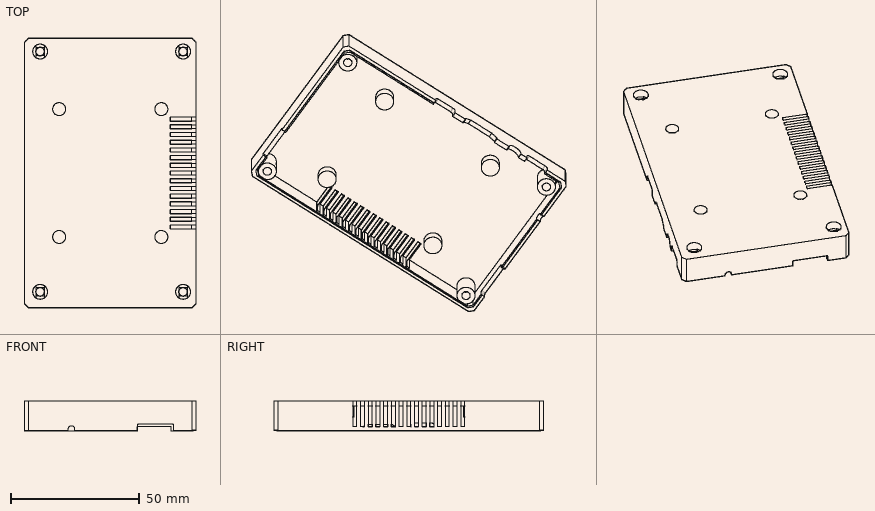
import cadquery as cq

length_x = 66.8
length_y = 105.1
height = 11.8
corner_chamfer = 1.6
wall = 1.8
roof = 2.0

lip_height = 0.3
lip_inset = 1.3

screw_spacing_x = 55.7
screw_spacing_y = 93.6
screw_centre = (0.5, 0.5)
screw_diameter = 3.3
head_diameter = 5.8
head_depth = 3.2
bridge_step = 0.3
post_diameter = 7.0

recess_spacing_x = 39.8
recess_spacing_y = 49.8
recess_centre = (0, 0)
recess_diameter = 5.0
recess_depth = 4.2

slot_count = 15
slot_row_length = 42.0
slot_pitch = slot_row_length / (slot_count - 1)
slot_width = slot_pitch / 2
slot_inner_x = 23.4
slot_bottom_z = 1.8

port_height = 3.2
port_corner_radius = 1.0
tall_port_a_y = 5.4
tall_port_a_width = 9.0
low_port_y = -11.5
low_port_width = 14.7
low_port_height = 2.5
low_port_bevel_width = 2.4
low_port_bevel_height = 1.6
jack_y = -27.4
jack_diameter = 5.5
tall_port_b_y = -37.8
tall_port_b_width = 9.5

end_opening_left_x = 10.6
front_opening_width = 14.0
front_opening_height = 2.8
front_opening_radius = 0.5
back_opening_width = 13.0
back_opening_height = 1.8
notch_x = -15.1
notch_width = 2.5
notch_height = 2.1

left_x = -length_x / 2
right_x = length_x / 2
front_y = -length_y / 2
back_y = length_y / 2


def chamfered_block(inset, bottom_z, top_z):
    """Block with the plan outline of the shell, moved inwards by inset."""
    return (
        cq.Workplane("XY", origin=(0, 0, bottom_z))
        .rect(length_x - 2 * inset, length_y - 2 * inset)
        .extrude(top_z - bottom_z)
        .edges("|Z")
        .chamfer(corner_chamfer)
    )


def box_between(x, y, z):
    """Box spanning the (low, high) pairs x, y and z."""
    size_x, size_y, size_z = (high - low for low, high in (x, y, z))
    block = cq.Workplane("XY").box(size_x, size_y, size_z, centered=False)
    return block.translate((x[0], y[0], z[0]))


def grid(spacing_x, spacing_y, centre):
    """Four points of a rectangular hole pattern."""
    return [
        (centre[0] + side_x * spacing_x / 2, centre[1] + side_y * spacing_y / 2)
        for side_x in (-1, 1)
        for side_y in (-1, 1)
    ]


def cylinders(points, diameter, bottom_z, top_z):
    """Vertical cylinders of one size at the given points."""
    return (
        cq.Workplane("XY", origin=(0, 0, bottom_z))
        .pushPoints(points)
        .circle(diameter / 2)
        .extrude(top_z - bottom_z)
    )


def rounded_opening(width, opening_height, radius):
    """Opening profile swept along +Y, standing on Z = 0, with rounded top corners."""
    return (
        cq.Workplane("XZ")
        .rect(width, 2 * opening_height)
        .extrude(-wall)
        .edges("|Y")
        .fillet(radius)
    )


def arched_opening(width, opening_height):
    """Opening swept along +Y whose top is a half circle as wide as the opening."""
    spring_z = opening_height - width / 2
    return (
        cq.Workplane("XZ")
        .moveTo(-width / 2, 0)
        .lineTo(width / 2, 0)
        .lineTo(width / 2, spring_z)
        .threePointArc((0, opening_height), (-width / 2, spring_z))
        .close()
        .extrude(-wall)
    )


def bevelled_opening(width, opening_height, bevel_width, bevel_height):
    """Opening swept along +Y with long bevels at its top corners."""
    shoulder_z = opening_height - bevel_height
    top_half = width / 2 - bevel_width
    return (
        cq.Workplane("XZ")
        .polyline([
            (-width / 2, 0),
            (width / 2, 0),
            (width / 2, shoulder_z),
            (top_half, opening_height),
            (-top_half, opening_height),
            (-width / 2, shoulder_z),
        ])
        .close()
        .extrude(-wall)
    )


def in_left_wall(opening, centre_y):
    """Turn an opening to run along X and place it in the -X wall."""
    return opening.rotate((0, 0, 0), (0, 0, 1), -90).translate((left_x, centre_y, 0))


shell = chamfered_block(0, lip_height, height)
shell = shell.union(chamfered_block(lip_inset, 0, lip_height))
shell = shell.cut(chamfered_block(wall, 0, height - roof))

flush_start = tall_port_b_y - tall_port_b_width / 2
flush_end = tall_port_a_y + tall_port_a_width / 2
shell = shell.union(
    box_between((left_x, left_x + wall), (flush_start, flush_end), (0, lip_height))
)

screw_points = grid(screw_spacing_x, screw_spacing_y, screw_centre)
recess_points = grid(recess_spacing_x, recess_spacing_y, recess_centre)
recess_floor_z = height - recess_depth
shell = shell.union(cylinders(screw_points, post_diameter, lip_height, height))
shell = shell.union(cylinders(recess_points, post_diameter, recess_floor_z - roof, height))
shell = shell.cut(cylinders(recess_points, recess_diameter, recess_floor_z, height))

head_floor_z = height - head_depth
slot_step_z = head_floor_z - bridge_step
square_step_z = slot_step_z - bridge_step
shell = shell.cut(cylinders(screw_points, head_diameter, head_floor_z, height))
shell = shell.cut(cylinders(screw_points, screw_diameter, 0, height))
slot_step = cylinders(screw_points, head_diameter, slot_step_z, head_floor_z).intersect(
    cq.Workplane("XY", origin=(0, 0, slot_step_z))
    .pushPoints(screw_points)
    .rect(screw_diameter, head_diameter)
    .extrude(bridge_step)
)
square_step = (
    cq.Workplane("XY", origin=(0, 0, square_step_z))
    .pushPoints(screw_points)
    .rect(screw_diameter, screw_diameter)
    .extrude(bridge_step)
)
shell = shell.cut(slot_step).cut(square_step)

for index in range(slot_count):
    slot_y = index * slot_pitch - slot_row_length / 2
    shell = shell.cut(
        box_between(
            (slot_inner_x, right_x),
            (slot_y - slot_width / 2, slot_y + slot_width / 2),
            (slot_bottom_z, height),
        )
    )

left_ports = [
    (rounded_opening(tall_port_a_width, port_height, port_corner_radius), tall_port_a_y),
    (
        bevelled_opening(
            low_port_width, low_port_height, low_port_bevel_width, low_port_bevel_height
        ),
        low_port_y,
    ),
    (arched_opening(jack_diameter, port_height), jack_y),
    (rounded_opening(tall_port_b_width, port_height, port_corner_radius), tall_port_b_y),
]
for opening, centre_y in left_ports:
    shell = shell.cut(in_left_wall(opening, centre_y))

front_opening = rounded_opening(front_opening_width, front_opening_height, front_opening_radius)
shell = shell.cut(
    front_opening.translate((end_opening_left_x + front_opening_width / 2, front_y, 0))
)
shell = shell.cut(arched_opening(notch_width, notch_height).translate((notch_x, front_y, 0)))
shell = shell.cut(
    box_between(
        (end_opening_left_x, end_opening_left_x + back_opening_width),
        (back_y - wall, back_y),
        (0, back_opening_height),
    )
)

result = shell